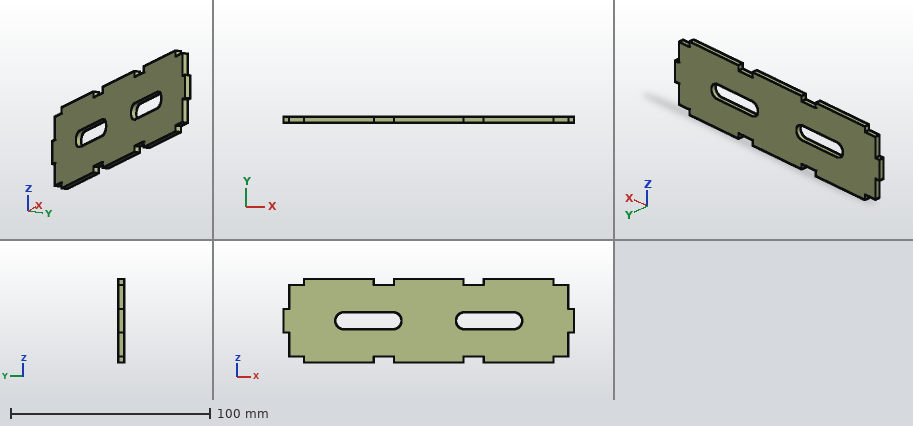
import cadquery as cq

length = 145.8
height = 42.0
thickness = 3.0

end_tab_depth = 2.9
end_tab_width = 12.0
edge_tab_depth = 3.0
edge_tab_length = 35.0
edge_tab_pitch = 45.0

slot_length = 33.1
slot_width = 8.5
slot_spacing = 60.5

body_length = length - 2 * end_tab_depth
body_height = height - 2 * edge_tab_depth


def plate(size_x, size_z):
    """Rectangular plate of the common thickness, centred on the origin."""
    return cq.Workplane("XY").box(size_x, thickness, size_z)


body = plate(body_length, body_height)
body = body.union(plate(length, end_tab_width))
for position in (-1, 0, 1):
    tab_pair = plate(edge_tab_length, height)
    body = body.union(tab_pair.translate((position * edge_tab_pitch, 0, 0)))

slots = (
    cq.Workplane("XZ")
    .pushPoints([(-slot_spacing / 2, 0), (slot_spacing / 2, 0)])
    .slot2D(slot_length, slot_width)
    .extrude(thickness, both=True)
)

result = body.cut(slots)